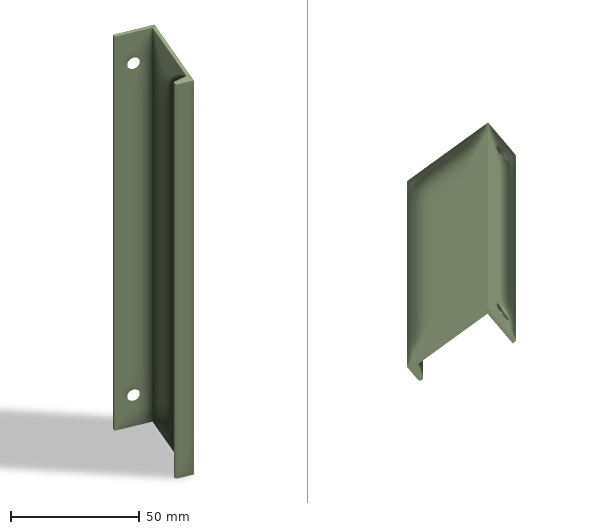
import cadquery as cq
import math

length = 190.0
width = 40.0
depth = 17.5
wall = 1.5
lip_depth = 7.8
lip_tip_radius = 1.1
lip_taper = math.radians(16)
hole_spacing = 160.0
hole_from_back = 9.5
hole_diameter = 5.3
countersink_diameter = 8.2
countersink_angle = 90.0

left = -width / 2
right = width / 2
front = -depth / 2
back = depth / 2
plate_inside = back - wall


def make_profile_bar():
    """Extrude the angle with its tapered, round-ended gripping lip along Z."""
    lip_tip = back - lip_depth
    round_x = right - lip_tip_radius
    round_y = lip_tip + lip_tip_radius
    slope_end_x = round_x - lip_tip_radius * math.cos(lip_taper)
    slope_end_y = round_y - lip_tip_radius * math.sin(lip_taper)
    root_x = slope_end_x - (plate_inside - slope_end_y) * math.tan(lip_taper)

    return (
        cq.Workplane("XY", origin=(0, 0, -length / 2))
        .moveTo(left, back)
        .lineTo(left, front)
        .lineTo(left + wall, front)
        .lineTo(left + wall, plate_inside)
        .lineTo(root_x, plate_inside)
        .lineTo(slope_end_x, slope_end_y)
        .threePointArc((round_x, lip_tip), (right, round_y))
        .lineTo(right, back)
        .close()
        .extrude(length)
    )


def drill_mounting_holes(bar):
    """Cut the two screw holes, countersunk from the outer flange face."""
    return (
        bar.faces("<X")
        .workplane(origin=(left, back - hole_from_back, 0))
        .rarray(1.9, hole_spacing, 1, 2)
        .cskHole(hole_diameter, countersink_diameter, countersink_angle, depth=wall)
    )


result = drill_mounting_holes(make_profile_bar())